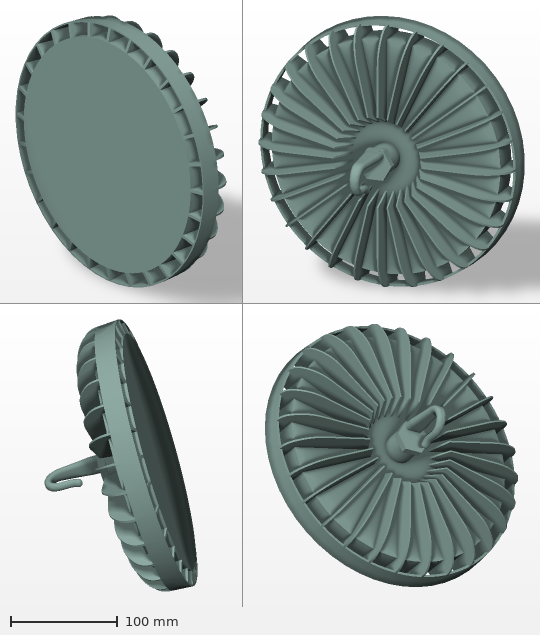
import cadquery as cq
import math


RING_DIAMETER = 260.0
RING_BACK_DIAMETER = 257.5
RING_FRONT_BORE = 257.0
RING_BACK_BORE = 252.7
RING_FRONT_Y = 3.0
RING_BACK_Y = 23.5
DRUM_DIAMETER = 230.4
DRUM_BACK_Y = 28.0
FIN_BACK_Y = 50.2
FIN_COUNT = 28
FIN_FRONT_THICKNESS = 3.0
FIN_BACK_THICKNESS = 1.5
FIN_CREST_RADIUS = 92.5
FIN_FRONT_INNER_RADIUS = 33.8
FIN_BACK_INNER_RADIUS = 44.2
RIM_SETBACK = 0.8
BOSS_DIAMETER = 28.0

NUT_ACROSS_FLATS = 29.0
NUT_HEIGHT = 7.0
TAB_WIDTH = 11.7
TAB_HEIGHT = 2.0
TAB_DEPTH = 1.5

HOOK_TIP_Y = 112.3
HOOK_SHANK_Z = 10.1
COLLAR_WIDTH = 18.2
COLLAR_THICKNESS = 8.3
COLLAR_LENGTH = 9.4
ROD_THICKNESS = 7.0
TAIL_WIDTH = 7.5
BEND_RADIUS = 12.5
TAPER_EXPONENT = 1.5
SHANK_SECTIONS = 3
BEND_SECTIONS = 6
TAPER_RUNOUT = 2.3
TAIL_STRAIGHT = 5.5
TAIL_BEND_RADIUS = 14.0
TAIL_BEND_ANGLE = 30.0
TAIL_END = 6.0
TAIL_ROUNDING = 2.9

NUT_BACK_Y = FIN_BACK_Y + NUT_HEIGHT
COLLAR_BACK_Y = NUT_BACK_Y + COLLAR_LENGTH
BEND_CENTRE_Y = HOOK_TIP_Y - ROD_THICKNESS / 2 - BEND_RADIUS
BEND_CENTRE_Z = HOOK_SHANK_Z - BEND_RADIUS


def turned(profile):
    """Revolve a closed list of (radius, y) points about the lamp axis."""
    return cq.Workplane("XY").polyline(profile).close().revolve(360, (0, 0), (0, 1))


def make_fin():
    """One radial fin along +X, thinner towards the back."""
    drum_radius = DRUM_DIAMETER / 2
    rim_front = RING_DIAMETER / 2 - RIM_SETBACK
    rim_back = RING_BACK_DIAMETER / 2
    crest_run = rim_back - FIN_CREST_RADIUS
    crest_drop = FIN_BACK_Y - RING_BACK_Y
    diagonal = math.sqrt(0.5)
    crest_middle = (FIN_CREST_RADIUS + crest_run * diagonal, RING_BACK_Y + crest_drop * diagonal)
    outline = (
        cq.Workplane("XY")
        .moveTo(FIN_FRONT_INNER_RADIUS, 0)
        .lineTo(drum_radius, 0)
        .lineTo(rim_front, RING_FRONT_Y)
        .lineTo(rim_back, RING_BACK_Y)
        .spline(
            [crest_middle, (FIN_CREST_RADIUS, FIN_BACK_Y)],
            tangents=[(0, 1), (-1, 0)],
            includeCurrent=True,
        )
        .lineTo(FIN_BACK_INNER_RADIUS, FIN_BACK_Y)
        .lineTo(FIN_FRONT_INNER_RADIUS, DRUM_BACK_Y)
        .close()
        .extrude(FIN_FRONT_THICKNESS, both=True)
    )
    taper = (
        cq.Workplane("YZ")
        .polyline([
            (0, -FIN_FRONT_THICKNESS / 2),
            (0, FIN_FRONT_THICKNESS / 2),
            (FIN_BACK_Y, FIN_BACK_THICKNESS / 2),
            (FIN_BACK_Y, -FIN_BACK_THICKNESS / 2),
        ])
        .close()
        .extrude(RING_DIAMETER / 2)
    )
    return outline.intersect(taper)


def make_heat_sink():
    """Drum, central boss, outer ring and the radial fins that join them."""
    drum = turned([(0, 0), (DRUM_DIAMETER / 2, 0), (DRUM_DIAMETER / 2, DRUM_BACK_Y), (0, DRUM_BACK_Y)])
    boss_radius = BOSS_DIAMETER / 2
    boss = turned([(0, DRUM_BACK_Y), (boss_radius, DRUM_BACK_Y), (boss_radius, FIN_BACK_Y), (0, FIN_BACK_Y)])
    ring = turned([
        (RING_FRONT_BORE / 2, RING_FRONT_Y),
        (RING_DIAMETER / 2, RING_FRONT_Y),
        (RING_BACK_DIAMETER / 2, RING_BACK_Y),
        (RING_BACK_BORE / 2, RING_BACK_Y),
    ])
    fin = make_fin().val()
    axis_end = cq.Vector(0, 1, 0)
    fins = [fin.rotate(cq.Vector(), axis_end, i * 360 / FIN_COUNT) for i in range(FIN_COUNT)]
    return cq.Workplane(drum.val().fuse(boss.val(), ring.val(), *fins).clean().Solids()[0])


def make_nut():
    """Hexagonal nut with a small tab on its top flat that keys into the hook."""
    corner_diameter = NUT_ACROSS_FLATS / math.cos(math.pi / 6)
    hexagon = (
        cq.Workplane("XZ", origin=(0, FIN_BACK_Y, 0))
        .polygon(6, corner_diameter)
        .extrude(-NUT_HEIGHT)
    )
    tab = cq.Workplane("XY").box(
        TAB_WIDTH, TAB_HEIGHT, TAB_DEPTH, centered=(True, False, False)
    ).translate((0, NUT_BACK_Y, NUT_ACROSS_FLATS / 2 - TAB_DEPTH))
    return hexagon.union(tab)


def section(y, z, angle, width, thickness):
    """Flat-sided oval across the hook; its normal is +Y turned by angle degrees towards -Z."""
    normal = (0, math.cos(math.radians(angle)), -math.sin(math.radians(angle)))
    plane = cq.Plane(origin=(0, y, z), xDir=(1, 0, 0), normal=normal)
    return cq.Workplane(plane).slot2D(width, thickness)


def make_tapered_rod():
    """Shank and main bend, narrowing from the collar to the tail."""
    shank_length = BEND_CENTRE_Y - COLLAR_BACK_Y
    bend_length = math.pi * BEND_RADIUS
    total = shank_length + bend_length + TAPER_RUNOUT

    def tapered_section(travel, y, z, angle):
        width = TAIL_WIDTH + (COLLAR_WIDTH - TAIL_WIDTH) * (1 - travel / total) ** TAPER_EXPONENT
        thinning = (COLLAR_THICKNESS - ROD_THICKNESS) * max(0, 1 - travel / shank_length)
        return section(y, z, angle, width, ROD_THICKNESS + thinning).val()

    shank_wires = []
    for i in range(SHANK_SECTIONS + 1):
        travel = shank_length * i / SHANK_SECTIONS
        shank_wires.append(tapered_section(travel, COLLAR_BACK_Y + travel, HOOK_SHANK_Z, 0))

    bend_wires = []
    for i in range(BEND_SECTIONS + 1):
        turn = math.pi * i / BEND_SECTIONS
        y = BEND_CENTRE_Y + BEND_RADIUS * math.sin(turn)
        z = BEND_CENTRE_Z + BEND_RADIUS * math.cos(turn)
        bend_wires.append(tapered_section(shank_length + BEND_RADIUS * turn, y, z, math.degrees(turn)))
    end_y = BEND_CENTRE_Y - TAPER_RUNOUT
    bend_wires.append(tapered_section(total, end_y, BEND_CENTRE_Z - BEND_RADIUS, 180))

    shank = cq.Workplane(cq.Solid.makeLoft(shank_wires))
    return shank.union(cq.Workplane(cq.Solid.makeLoft(bend_wires)))


def make_tail():
    """Constant-section end of the hook, bent downwards and rounded at its tip."""
    start_y = BEND_CENTRE_Y - TAPER_RUNOUT
    start_z = BEND_CENTRE_Z - BEND_RADIUS
    bend_y = start_y - TAIL_STRAIGHT
    angle = math.radians(TAIL_BEND_ANGLE)

    def on_bend(turn):
        return (
            bend_y - TAIL_BEND_RADIUS * math.sin(turn),
            start_z - TAIL_BEND_RADIUS * (1 - math.cos(turn)),
        )

    end_y, end_z = on_bend(angle)
    path = (
        cq.Workplane("YZ")
        .moveTo(start_y, start_z)
        .lineTo(bend_y, start_z)
        .threePointArc(on_bend(angle / 2), (end_y, end_z))
        .lineTo(end_y - TAIL_END * math.cos(angle), end_z - TAIL_END * math.sin(angle))
    )
    tail = section(start_y, start_z, 180, TAIL_WIDTH, ROD_THICKNESS).sweep(path)
    return tail.faces("<Y").edges().fillet(TAIL_ROUNDING)


def make_hook(nut):
    """Collar standing on the nut, tapered rod and tail, notched for the tab of the nut."""
    collar = section(NUT_BACK_Y, HOOK_SHANK_Z, 0, COLLAR_WIDTH, COLLAR_THICKNESS).extrude(COLLAR_LENGTH)
    return collar.union(make_tapered_rod()).union(make_tail()).cut(nut)


heat_sink = make_heat_sink()
nut = make_nut()
hook = make_hook(nut)

result = cq.Compound.makeCompound([heat_sink.val(), nut.solids().val(), hook.solids().val()])